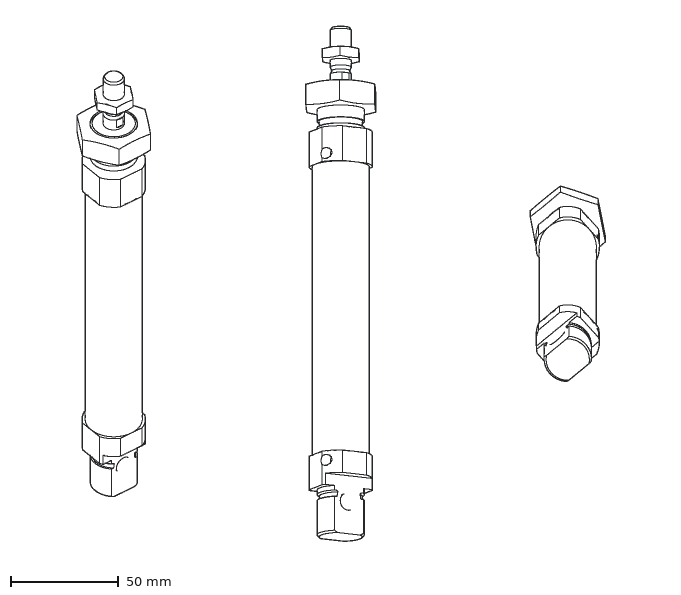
import cadquery as cq
import math

HEXAGON_RATIO = math.cos(math.radians(30))

ARC_MID_RATIO = 1 - math.sqrt(0.5)

overall_length = 241.5
rear_cap_bottom_z = 22.2
rear_cap_top_z = 38.2
front_cap_bottom_z = 175.5
front_cap_top_z = 192.0
mount_thread_top_z = 213.7

barrel_diameter = 26.5
cap_across_flats = 26.5
cap_corner_diameter = 29.5

spigot_diameter = 22.0
relief_diameter = 19.8
relief_top_diameter = 20.3
relief_length = 3.0
relief_fillet = 0.7
spigot_collar_length = 2.2
spigot_chamfer = 1.0
collar_fillet = 1.2

tongue_thickness = 16.0
tongue_step_z = 27.5
clevis_hole_diameter = 8.0
clevis_hole_rounding = 1.5
clevis_hole_z = 15.5

screw_hole_diameter = 5.0
screw_hole_x = -8.0
screw_hole_depth = 4.8
screw_hole_heights = (33.8, 179.5)

rod_diameter = 10.0
rod_neck_diameter = 8.5
rod_bottom_z = front_cap_bottom_z
rod_neck_bottom_z = 219.5
rod_neck_waist_z = 221.2
rod_neck_top_z = 223.0
rod_tip_chamfer = 0.7
rod_tip_chamfer_length = 1.2
rod_flat_bottom_z = 215.0
rod_across_flats = 9.2

mount_nut_across_corners = 37.0
mount_nut_height = 11.0
rod_nut_across_flats = 17.0
rod_nut_across_corners = rod_nut_across_flats / HEXAGON_RATIO
rod_nut_height = 5.0
rod_nut_bottom_z = 226.0
nut_chamfer_angle = 15.0
nut_face_ratio = 0.97


def cylinder(diameter, bottom_z, top_z):
    return cq.Workplane("XY").workplane(offset=bottom_z).circle(diameter / 2).extrude(top_z - bottom_z)


def slab_pair_cut(body, across_flats, bottom_z, top_z):
    """Trim the body to two flats facing -X and +X between two heights."""
    height = top_z - bottom_z
    reach = cap_corner_diameter
    cutters = (
        cq.Workplane("XY")
        .workplane(offset=bottom_z)
        .pushPoints([(side * (across_flats + reach) / 2, 0) for side in (-1, 1)])
        .rect(reach, 2 * reach)
        .extrude(height)
    )
    return body.cut(cutters)


def make_cap(bottom_z, top_z):
    """Square end cap with its corners turned round."""
    square = (
        cq.Workplane("XY")
        .workplane(offset=bottom_z)
        .rect(cap_across_flats, cap_across_flats)
        .extrude(top_z - bottom_z)
    )
    return square.intersect(cylinder(cap_corner_diameter, bottom_z, top_z))


def make_spigot(length):
    """Threaded spigot rising from z = 0, with a collar, a relief groove and an end chamfer."""
    spigot_radius = spigot_diameter / 2
    relief_radius = relief_diameter / 2
    sag = relief_fillet * ARC_MID_RATIO
    relief_end_z = spigot_collar_length + relief_length
    return (
        cq.Workplane("XZ")
        .moveTo(0, 0)
        .lineTo(spigot_radius, 0)
        .lineTo(spigot_radius, spigot_collar_length)
        .lineTo(relief_radius + relief_fillet, spigot_collar_length)
        .threePointArc(
            (relief_radius + sag, spigot_collar_length + sag),
            (relief_radius, spigot_collar_length + relief_fillet),
        )
        .lineTo(relief_top_diameter / 2, relief_end_z)
        .lineTo(spigot_radius, relief_end_z)
        .lineTo(spigot_radius, length - spigot_chamfer)
        .lineTo(spigot_radius - spigot_chamfer, length)
        .lineTo(0, length)
        .close()
        .revolve(360, (0, 0, 0), (0, 1, 0))
    )


def make_collar_fillet():
    """Concave ring that blends the front spigot's collar into the top of its cap."""
    inner_radius = spigot_diameter / 2
    sag = collar_fillet * ARC_MID_RATIO
    return (
        cq.Workplane("XZ")
        .moveTo(0, 0)
        .lineTo(inner_radius + collar_fillet, 0)
        .threePointArc((inner_radius + sag, sag), (inner_radius, collar_fillet))
        .lineTo(0, collar_fillet)
        .close()
        .revolve(360, (0, 0, 0), (0, 1, 0))
        .translate((0, 0, front_cap_top_z))
    )


def cut_clevis_hole(body):
    """Cross hole along X through the tongue, rounded at both rims."""
    radius = clevis_hole_diameter / 2
    half = tongue_thickness / 2
    rim_radius = radius + clevis_hole_rounding
    arc_start_x = half - clevis_hole_rounding
    sag = clevis_hole_rounding * ARC_MID_RATIO
    cutter = (
        cq.Workplane("XY")
        .moveTo(-half, 0)
        .lineTo(-half, rim_radius)
        .threePointArc((sag - half, radius + sag), (-arc_start_x, radius))
        .lineTo(arc_start_x, radius)
        .threePointArc((half - sag, radius + sag), (half, rim_radius))
        .lineTo(half, 0)
        .close()
        .revolve(360, (0, 0, 0), (1, 0, 0))
        .translate((0, 0, clevis_hole_z))
    )
    return body.cut(cutter)


def cut_screw_holes(body):
    """Blind holes sunk from the +Y side, one in each cap."""
    for z in screw_hole_heights:
        hole = (
            cq.Workplane("XZ", origin=(screw_hole_x, cap_across_flats / 2, z))
            .circle(screw_hole_diameter / 2)
            .extrude(screw_hole_depth)
        )
        body = body.cut(hole)
    return body


def make_housing():
    """Barrel, both caps and both spigots, bored for the piston rod."""
    front_spigot = make_spigot(mount_thread_top_z - front_cap_top_z).translate((0, 0, front_cap_top_z))
    rear_spigot = make_spigot(rear_cap_bottom_z).mirror("XY").translate((0, 0, rear_cap_bottom_z))
    body = (
        cylinder(barrel_diameter, rear_cap_top_z, front_cap_bottom_z)
        .union(make_cap(rear_cap_bottom_z, rear_cap_top_z))
        .union(make_cap(front_cap_bottom_z, front_cap_top_z))
        .union(front_spigot)
        .union(make_collar_fillet())
        .union(rear_spigot)
    )
    body = slab_pair_cut(body, tongue_thickness, 0, tongue_step_z)
    body = cut_clevis_hole(body)
    body = cut_screw_holes(body)
    return body.cut(cylinder(rod_diameter, rod_bottom_z, mount_thread_top_z))


def make_piston_rod():
    """Rod with wrench flats, a V-shaped neck and a threaded, chamfered end."""
    radius = rod_diameter / 2
    neck_radius = rod_neck_diameter / 2
    tip_radius = radius - rod_tip_chamfer
    rod = (
        cq.Workplane("XZ")
        .moveTo(0, rod_bottom_z)
        .lineTo(radius, rod_bottom_z)
        .lineTo(radius, rod_neck_bottom_z)
        .lineTo(neck_radius, rod_neck_waist_z)
        .lineTo(radius, rod_neck_top_z)
        .lineTo(radius, overall_length - rod_tip_chamfer_length)
        .lineTo(tip_radius, overall_length)
        .lineTo(0, overall_length)
        .close()
        .revolve(360, (0, 0, 0), (0, 1, 0))
    )
    return slab_pair_cut(rod, rod_across_flats, rod_flat_bottom_z, rod_neck_bottom_z)


def make_nut(across_corners, height, bore_diameter, bottom_z):
    """Hexagon nut with corners on the Y axis, cone-chamfered at both faces."""
    hexagon = cq.Workplane("XY").polygon(6, across_corners).extrude(height)
    hexagon = hexagon.rotate((0, 0, 0), (0, 0, 1), 90)
    corner_radius = across_corners / 2
    face_radius = nut_face_ratio * across_corners * HEXAGON_RATIO / 2
    drop = (corner_radius - face_radius) * math.tan(math.radians(nut_chamfer_angle))
    envelope = (
        cq.Workplane("XZ")
        .moveTo(0, 0)
        .lineTo(face_radius, 0)
        .lineTo(corner_radius, drop)
        .lineTo(corner_radius, height - drop)
        .lineTo(face_radius, height)
        .lineTo(0, height)
        .close()
        .revolve(360, (0, 0, 0), (0, 1, 0))
    )
    nut = hexagon.intersect(envelope).cut(cylinder(bore_diameter, 0, height))
    return nut.translate((0, 0, bottom_z))


housing = make_housing()
piston_rod = make_piston_rod()
mount_nut = make_nut(
    mount_nut_across_corners, mount_nut_height, spigot_diameter, mount_thread_top_z - mount_nut_height
)
rod_nut = make_nut(rod_nut_across_corners, rod_nut_height, rod_diameter, rod_nut_bottom_z)

result = cq.Compound.makeCompound([housing.val(), piston_rod.val(), mount_nut.val(), rod_nut.val()])